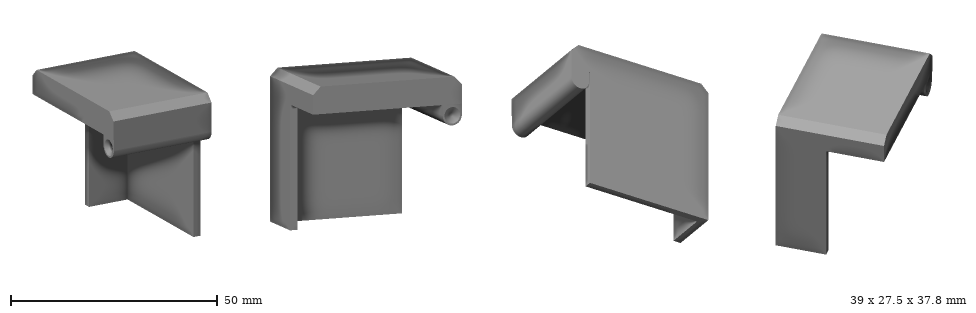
import cadquery as cq

width = 39.0
depth = 27.5
height = 37.8

plate_thickness = 6.8
plate_chamfer = 2.0
plate_bottom = height - plate_thickness

wall_thickness = 2.0
wall_depth = 12.8
panel_thickness = 2.0
panel_right = 33.75

lug_radius = 2.5
lug_setback = 0.1
lug_axis_x = width - lug_radius
lug_axis_z = height - 9.5

dimple_radius = 2.03
dimple_depth = 1.17


def box(x_min, y_min, x_size, y_size, z_size):
    """Box standing on z = 0."""
    return cq.Workplane("XY").box(x_size, y_size, z_size, centered=False).translate((x_min, y_min, 0))


def make_plate():
    """Full-size plate with its two upper side edges chamfered."""
    plate = box(0, 0, width, depth, plate_thickness).translate((0, 0, plate_bottom))
    return plate.edges("|Y and >Z").chamfer(plate_chamfer)


def make_lug():
    """U-shaped lug running from just behind the front face to the back."""
    return (
        cq.Workplane("XZ", origin=(0, lug_setback, 0))
        .moveTo(lug_axis_x - lug_radius, plate_bottom)
        .lineTo(lug_axis_x - lug_radius, lug_axis_z)
        .threePointArc((lug_axis_x, lug_axis_z - lug_radius), (width, lug_axis_z))
        .lineTo(width, plate_bottom)
        .close()
        .extrude(lug_setback - depth)
    )


def make_dimple():
    """Cone with its base on the front of the lug and its tip inside."""
    base_center = cq.Vector(lug_axis_x, lug_setback, lug_axis_z)
    inward = cq.Vector(0, 1, 0)
    return cq.Solid.makeCone(dimple_radius, 0, dimple_depth, base_center, inward)


side_wall = box(0, depth - wall_depth, wall_thickness, wall_depth, plate_bottom)
rear_panel = box(0, depth - panel_thickness, panel_right, panel_thickness, plate_bottom)

result = make_plate().union(side_wall).union(rear_panel).union(make_lug()).cut(make_dimple())